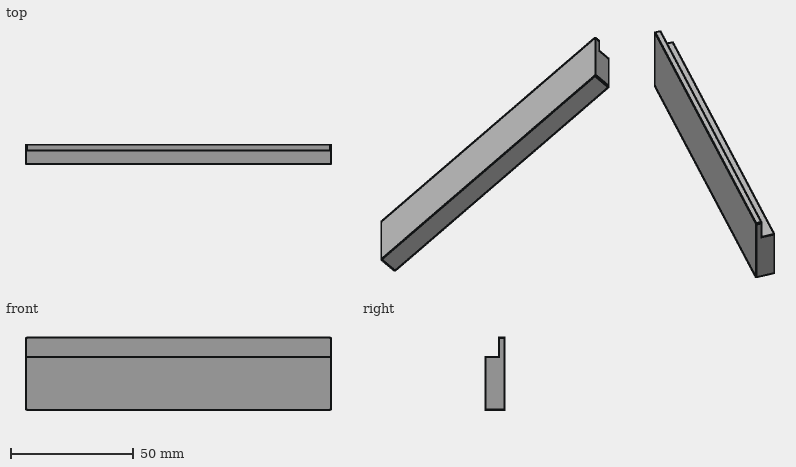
import cadquery as cq

length = 125.0
thickness = 8.0
height = 30.0

lip_thickness = 2.5
lip_height = 8.0

corner_chamfer = 0.5
edge_break = 0.2

front = -thickness / 2
back = thickness / 2
lip_front = back - lip_thickness
shoulder = height - lip_height


def stepped_bar():
    """Bar with an L-shaped section: a thick body and a thin lip at the back."""
    section = [
        (front, 0),
        (back, 0),
        (back, height),
        (lip_front, height),
        (lip_front, shoulder),
        (front, shoulder),
    ]
    return cq.Workplane("YZ").polyline(section).close().extrude(length / 2, both=True)


def chamfer_end_corners(bar):
    """Chamfer the four end corners at the top of the lip and along the base."""
    return bar.faces("<Z or >Z").edges("|Y").chamfer(corner_chamfer)


def break_outer_edges(bar):
    """Break the remaining outer edges; the inside corner under the lip stays sharp."""
    profile_edges = cq.StringSyntaxSelector("not |Y")
    inside_corner = cq.NearestToPointSelector((0, lip_front, shoulder))
    shoulder_point = (0, (front + lip_front) / 2, shoulder)
    shoulder_ends = bar.faces(cq.NearestToPointSelector(shoulder_point)).edges("|Y")
    outer_edges = bar.edges(profile_edges - inside_corner)
    return outer_edges.add(shoulder_ends).chamfer(edge_break)


result = break_outer_edges(chamfer_end_corners(stepped_bar()))